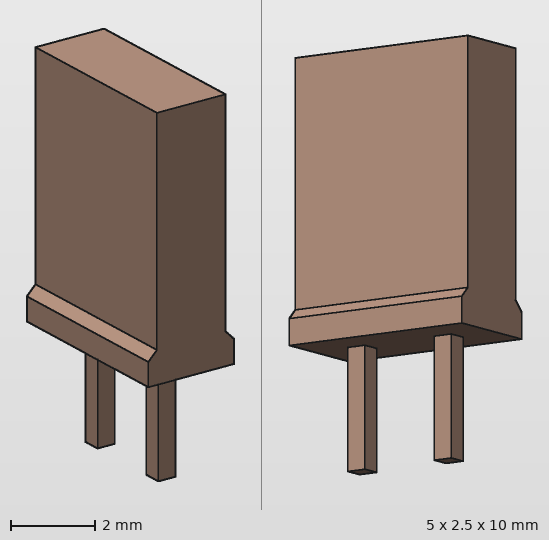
import cadquery as cq

total_height = 10.0
body_width = 5.0
body_depth = 2.0
foot_depth = 2.5
foot_side_height = 0.65
foot_slope_height = (foot_depth - body_depth) / 2

lead_size = 0.5
lead_length = 3.0
lead_spacing = 2.5

body_height = total_height - lead_length


def make_body():
    """Extrude the YZ profile of block and foot along X, with its base at Z = 0."""
    foot_half = foot_depth / 2
    body_half = body_depth / 2
    slope_top = foot_side_height + foot_slope_height
    return (
        cq.Workplane("YZ")
        .moveTo(-foot_half, 0)
        .lineTo(foot_half, 0)
        .lineTo(foot_half, foot_side_height)
        .lineTo(body_half, slope_top)
        .lineTo(body_half, body_height)
        .lineTo(-body_half, body_height)
        .lineTo(-body_half, slope_top)
        .lineTo(-foot_half, foot_side_height)
        .close()
        .extrude(body_width / 2, both=True)
    )


def make_leads():
    """Two square leads hanging below the base of the body."""
    return (
        cq.Workplane("XY")
        .pushPoints([(-lead_spacing / 2, 0), (lead_spacing / 2, 0)])
        .rect(lead_size, lead_size)
        .extrude(-lead_length)
    )


result = make_body().union(make_leads())